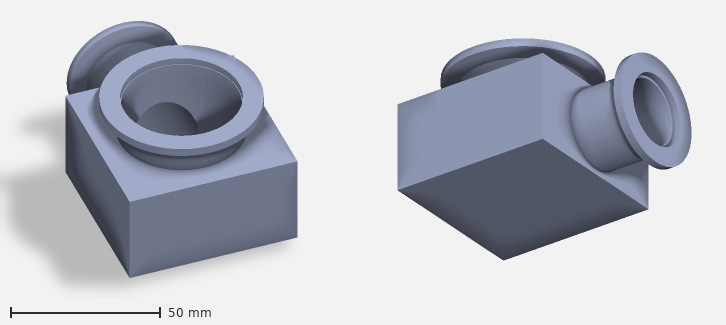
import cadquery as cq

overall_length = 85
overall_height = 50.0

block_side = 60.0
block_height = 32.8

side_reach = overall_length - block_side / 2
side_flange_diameter = 40.0
top_flange_diameter = 55.0
top_reach = overall_height - side_flange_diameter / 2

rim_thickness = 3.0
taper_length = 1.45
recess_depth = 2.55

side_tube_diameter = 29.0
side_recess_diameter = 26.2
side_bore_diameter = 24.0
top_tube_diameter = 44.0
top_recess_diameter = 41.0
top_bore_diameter = 40.5

cavity_floor = -side_bore_diameter / 2


def port_body(reach, flange_diameter, tube_diameter):
    """Solid flanged tube along +Z, from the origin to its sealing face."""
    flange_radius = flange_diameter / 2
    tube_radius = tube_diameter / 2
    rim_back = reach - rim_thickness
    outline = [
        (0, 0),
        (tube_radius, 0),
        (tube_radius, rim_back - taper_length),
        (flange_radius, rim_back),
        (flange_radius, reach),
        (0, reach),
    ]
    profile = cq.Workplane("XZ").polyline(outline).close()
    return profile.revolve(360, (0, 0, 0), (0, 1, 0))


def port_bore(reach, recess_diameter, bore_diameter, bore_end):
    """Stepped bore along +Z, from bore_end to the sealing face."""
    bore = cq.Workplane("XY").workplane(offset=bore_end)
    bore = bore.circle(bore_diameter / 2).extrude(reach - bore_end)
    recess = cq.Workplane("XY").workplane(offset=reach - recess_depth)
    recess = recess.circle(recess_diameter / 2).extrude(recess_depth)
    return bore.union(recess)


def toward_minus_x(shape):
    """Turn a port built along +Z so that it faces -X."""
    return shape.rotate((0, 0, 0), (0, 1, 0), -90)


block = cq.Workplane("XY").box(block_side, block_side, block_height)
top_body = port_body(top_reach, top_flange_diameter, top_tube_diameter)
side_body = toward_minus_x(port_body(side_reach, side_flange_diameter, side_tube_diameter))

top_bore = port_bore(top_reach, top_recess_diameter, top_bore_diameter, cavity_floor)
side_bore = toward_minus_x(port_bore(side_reach, side_recess_diameter, side_bore_diameter, 0))

result = block.union(top_body).union(side_body).cut(top_bore).cut(side_bore)